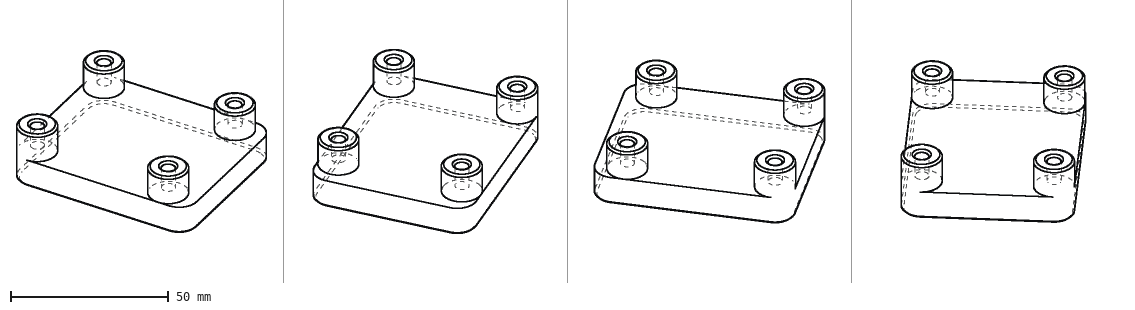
import cadquery as cq

edge_chamfer = 0.75

post_diameter = 13.0
post_height = 10.0
post_spacing_x = 48.0

plate_length = 65.0
plate_width = 55.0
plate_height = 10.0
corner_radius = post_diameter / 2

hole_diameter = 4.5
hole_depth = 8.0

top_z = plate_height + post_height
left_post_x = -plate_length / 2 + corner_radius
post_y = plate_width / 2 - corner_radius
post_centres = [
    (x, y)
    for x in (left_post_x, left_post_x + post_spacing_x)
    for y in (-post_y, post_y)
]


def make_plate():
    """Rounded rectangular plate with a chamfered bottom rim."""
    plate = cq.Workplane("XY").rect(plate_length, plate_width).extrude(plate_height)
    plate = plate.edges("|Z").fillet(corner_radius)
    return plate.faces("<Z").chamfer(edge_chamfer)


def make_posts():
    """Cylindrical posts standing on the plate, with chamfered top rims."""
    posts = cq.Workplane("XY").workplane(offset=plate_height).pushPoints(post_centres)
    posts = posts.circle(post_diameter / 2).extrude(post_height)
    return posts.faces(">Z").edges().chamfer(edge_chamfer)


def make_hole(x, y):
    """Cutter for a flat-bottomed hole with a chamfered mouth."""
    radius = hole_diameter / 2
    bottom_z = top_z - hole_depth
    half_profile = [
        (0, bottom_z),
        (radius, bottom_z),
        (radius, top_z - edge_chamfer),
        (radius + edge_chamfer, top_z),
        (0, top_z),
    ]
    cutter = cq.Workplane("XZ").polyline(half_profile).close().revolve(360, (0, 0, 0), (0, 1, 0))
    return cutter.translate((x, y, 0))


result = make_plate().union(make_posts())
for centre_x, centre_y in post_centres:
    result = result.cut(make_hole(centre_x, centre_y))